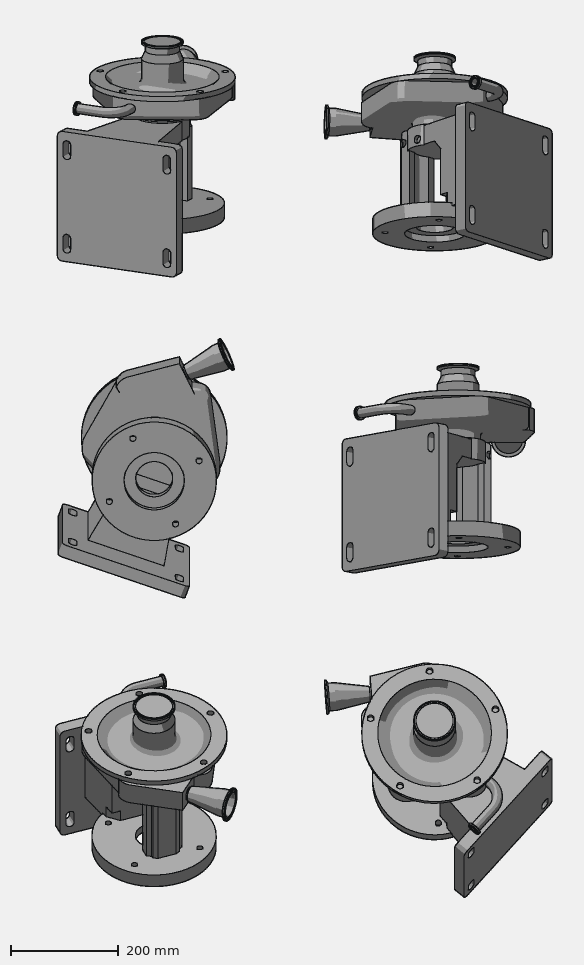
import cadquery as cq
import math


plate_side = 250.0
plate_thickness = 24.0
plate_back_y = -155.7
plate_corner_radius = 10.0
slot_width = 16.0
slot_length = 36.0
slot_spacing_x = 210.0
slot_spacing_z = 180.0
leg_base_half_width = 74.8
leg_taper_angle = 10
leg_front_y = -63.0
leg_bottom_z = 77.2
leg_notch_size = 20.2
leg_notch_top_z = 105.7
arm_start_y = -15.5
arm_chamfer = 17.8

disc_radius = 115.2
disc_bottom_z = 55.0
disc_top_z = 83.0
disc_bore_radius = 34.3
disc_pilot_radius = 55.8
disc_pilot_depth = 12.5
disc_hole_circle_radius = 92.0
disc_hole_diameter = 11.0
disc_hole_count = 4
disc_first_hole_angle = 45
collar_radius = 50.5
collar_bottom_z = 213.0
collar_top_z = 252.8
collar_hole_diameter = 15.0
collar_hole_depth = 8.3
collar_hole_z = 226.0
column_half_width = 35.5
column_hollow_radius = 37.5
column_front_y = 32.0
column_back_y = 65.0
column_step_width = 8.5
column_step_rise = 4.5
column_step_start_y = 50.5
column_slope_start_y = 46.0
column_slope_drop = 16.0
column_hole_diameter = 14.5
column_hole_y = 47.0
column_hole_z = 230.0

casing_bottom_z = 273.0
casing_bottom_fillet = 9.0
flange_radius = 135.0
flange_thickness = 10.0
flange_top_z = 325.5
corner_count = 5
first_corner_angle = 45
corner_center_radius = 102.0
corner_radius = 32.2
cutwater_corner = 1
cutwater_corner_shift = 8.3
cutwater_corner_radius = 24.8
flange_hole_circle_radius = 122.0
flange_hole_diameter = 12.5
hub_radius = 41.7
hub_fillet = 9.0

recess_top_radius = 105.5
recess_cone_end_radius = 93.8
recess_floor_radius = 82.0
recess_depth = 16.5
recess_fillet = 16.5
suction_radius = 39.0
suction_root_fillet = 14.5
suction_cone_start_z = 360.5
suction_cone_end_z = 376.0
suction_neck_radius = 32.0
suction_ferrule_start_z = 387.5
suction_rim_thickness = 3.7
suction_top_z = 394.0

discharge_angle = 135
discharge_offset = 96.2
discharge_z = 293.3
block_face_distance = 110.3
block_peak_offset = 123.5
block_slope_end = (90.5, 109.0)
block_slope_normal_angle = 55
discharge_length = 84.5
discharge_rim_radius = 32.0
discharge_rim_thickness = 3.0
discharge_pipe_radius = 26.0
discharge_straight_length = 18.0
discharge_end_radius = 14.5
discharge_neck_radius = 12.5
discharge_neck_length = 3.0
discharge_wall = 2.5
discharge_bore_straight_length = 13.5
discharge_bore_step_length = 29.0
discharge_bore_step_radius = 21.5

drain_radius = 9.5
drain_bore_radius = 7.0
drain_z = 295.8
drain_bend_radius = 34.3
drain_axis_y = -172.0
drain_end_x = -89.2
drain_rim_radius = 13.0
drain_rim_thickness = 4.5

groove_width = 3.0
groove_depth = 1.2
suction_groove_radius = 34.3
discharge_groove_radius = 26.5
drain_groove_radius = 8.5

casing_top_z = flange_top_z - flange_thickness
corner_angles = [first_corner_angle + i * 360 / corner_count for i in range(corner_count)]


def polar(radius, angle):
    """Point at the given radius and angle (degrees) from the shaft axis."""
    return radius * math.cos(math.radians(angle)), radius * math.sin(math.radians(angle))


def cylinder(radius, bottom_z, top_z):
    return cq.Workplane("XY").workplane(offset=bottom_z).circle(radius).extrude(top_z - bottom_z)


def side_hole(diameter, y, z, start_x, length):
    """Drill along +X at the given Y and Z."""
    plane = cq.Plane(origin=(start_x, y, z), xDir=(0, 1, 0), normal=(1, 0, 0))
    return cq.Workplane(plane).circle(diameter / 2).extrude(length)


def mounting_plate():
    plane = cq.Plane(origin=(0, plate_back_y, plate_side / 2), xDir=(1, 0, 0), normal=(0, -1, 0))
    plate = cq.Workplane(plane).rect(plate_side, plate_side).extrude(plate_thickness)
    plate = plate.edges("|Y").fillet(plate_corner_radius)
    slots = (
        cq.Workplane(plane)
        .rect(slot_spacing_x, slot_spacing_z, forConstruction=True)
        .vertices()
        .slot2D(slot_length, slot_width, 90)
        .extrude(plate_thickness)
    )
    return plate.cut(slots)


def leg_half_width(y):
    """Half width of the tapered leg, widest at the mounting plate."""
    return leg_base_half_width - (y - plate_back_y) * math.tan(math.radians(leg_taper_angle))


def leg():
    side = [
        (arm_start_y, plate_side),
        (plate_back_y, plate_side),
        (plate_back_y, leg_bottom_z),
        (leg_front_y, leg_bottom_z),
        (leg_front_y, collar_bottom_z - arm_chamfer),
        (leg_front_y + arm_chamfer, collar_bottom_z),
        (arm_start_y, collar_bottom_z),
    ]
    profile = cq.Workplane("YZ").polyline(side).close().extrude(leg_base_half_width, both=True)
    narrow = leg_half_width(arm_start_y)
    plan = [
        (-leg_base_half_width, plate_back_y),
        (leg_base_half_width, plate_back_y),
        (narrow, arm_start_y),
        (-narrow, arm_start_y),
    ]
    body = profile.intersect(cq.Workplane("XY").polyline(plan).close().extrude(plate_side))
    notch_back_y = leg_front_y - leg_notch_size
    outer = leg_half_width(notch_back_y)
    for sign in (-1, 1):
        notch = (
            cq.Workplane("XY")
            .workplane(offset=disc_top_z)
            .moveTo(sign * outer, notch_back_y)
            .lineTo(sign * (outer - leg_notch_size), leg_front_y)
            .lineTo(sign * outer, leg_front_y)
            .close()
            .extrude(leg_notch_top_z - disc_top_z)
        )
        body = body.cut(notch)
    return body


def motor_disc():
    return cylinder(disc_radius, disc_bottom_z, disc_top_z)


def disc_openings():
    holes = (
        cq.Workplane("XY")
        .workplane(offset=disc_bottom_z)
        .polarArray(disc_hole_circle_radius, disc_first_hole_angle, 360, disc_hole_count)
        .circle(disc_hole_diameter / 2)
        .extrude(disc_top_z - disc_bottom_z)
    )
    pilot = cylinder(disc_pilot_radius, disc_bottom_z, disc_bottom_z + disc_pilot_depth)
    return holes.union(cylinder(disc_bore_radius, disc_bottom_z, disc_top_z)).union(pilot)


def column():
    step_half_width = column_half_width - column_step_width
    step_y = column_step_start_y + column_step_rise
    back_half_width = step_half_width - column_step_width
    right_edge = [
        (column_half_width, column_front_y),
        (column_half_width, column_step_start_y),
        (step_half_width, step_y),
        (step_half_width, column_back_y - column_step_rise),
        (back_half_width, column_back_y),
    ]
    left_edge = [(-x, y) for x, y in reversed(right_edge)]
    body = (
        cq.Workplane("XY")
        .workplane(offset=disc_top_z)
        .polyline(right_edge + left_edge)
        .close()
        .extrude(collar_top_z - disc_top_z)
    )
    slope = (
        cq.Workplane("YZ")
        .moveTo(column_slope_start_y, collar_top_z)
        .lineTo(column_back_y, collar_top_z - column_slope_drop)
        .lineTo(column_back_y, collar_top_z)
        .close()
        .extrude(column_half_width, both=True)
    )
    return body.cut(slope)


def bracket():
    collar = cylinder(collar_radius, collar_bottom_z, collar_top_z)
    body = leg().union(collar).union(column())
    body = body.cut(cylinder(column_hollow_radius, disc_top_z, collar_bottom_z))
    body = body.union(motor_disc()).union(mounting_plate()).cut(disc_openings())
    body = body.cut(
        side_hole(collar_hole_diameter, 0, collar_hole_z, -collar_radius, collar_hole_depth)
    )
    return body.cut(
        side_hole(
            column_hole_diameter,
            column_hole_y,
            column_hole_z,
            -column_half_width,
            2 * column_half_width,
        )
    )


def casing():
    """Five-sided casing with round corners, one of them pushed out beside the discharge."""
    vertex_radius = corner_center_radius + corner_radius / math.cos(math.pi / corner_count)
    vertices = [polar(vertex_radius, angle) for angle in corner_angles]
    side_direction = corner_angles[cutwater_corner] - 90 + 180 / corner_count
    shift_x, shift_y = polar(cutwater_corner_shift, side_direction)
    cutwater_x, cutwater_y = vertices[cutwater_corner]
    vertices[cutwater_corner] = (cutwater_x + shift_x, cutwater_y + shift_y)
    height = casing_top_z - casing_bottom_z
    base = cq.Workplane("XY").workplane(offset=casing_bottom_z)
    body = base.polyline(vertices).close().extrude(height)
    for i, (x, y) in enumerate(vertices):
        radius = cutwater_corner_radius if i == cutwater_corner else corner_radius
        edge = cq.selectors.NearestToPointSelector((x, y, casing_bottom_z + height / 2))
        body = body.edges("|Z").edges(edge).fillet(radius)
    return body.faces("<Z").edges().fillet(casing_bottom_fillet)


def discharge_block():
    """Wedge-shaped outlet beside the casing, rounded where its long side ends."""
    face_x, face_y = polar(block_face_distance, discharge_angle)
    along_x, along_y = polar(1, discharge_angle - 90)
    peak = (face_x + block_peak_offset * along_x, face_y + block_peak_offset * along_y)
    inner = (face_x + corner_radius * along_x, face_y + corner_radius * along_y)
    normal_x, normal_y = polar(corner_radius, block_slope_normal_angle)
    arc_x = block_slope_end[0] - normal_x
    arc_y = block_slope_end[1] - normal_y
    middle_x, middle_y = polar(corner_radius, block_slope_normal_angle / 2)
    return (
        cq.Workplane("XY")
        .workplane(offset=casing_bottom_z)
        .moveTo(*inner)
        .lineTo(*peak)
        .lineTo(*block_slope_end)
        .threePointArc((arc_x + middle_x, arc_y + middle_y), (arc_x + corner_radius, arc_y))
        .lineTo(0, 0)
        .close()
        .extrude(casing_top_z - casing_bottom_z)
    )


def flange():
    return cylinder(flange_radius, casing_top_z, flange_top_z)


def flange_holes():
    return (
        cq.Workplane("XY")
        .workplane(offset=casing_top_z)
        .polarArray(flange_hole_circle_radius, first_corner_angle, 360, corner_count)
        .circle(flange_hole_diameter / 2)
        .extrude(flange_thickness)
    )


def revolve_profile(sketch):
    """Close a half profile and revolve it about the second axis of its plane."""
    return sketch.close().revolve(360, (0, 0, 0), (0, 1, 0))


def hub():
    return revolve_profile(
        cq.Workplane("XZ")
        .moveTo(0, collar_top_z)
        .lineTo(hub_radius, collar_top_z)
        .lineTo(hub_radius, casing_bottom_z - hub_fillet)
        .radiusArc((hub_radius + hub_fillet, casing_bottom_z), hub_fillet)
        .lineTo(0, casing_bottom_z)
    )


def front_recess():
    """Dished ring between the flange and the suction pipe."""
    floor_z = flange_top_z - recess_depth
    cone_end_z = flange_top_z - (recess_top_radius - recess_cone_end_radius)
    return revolve_profile(
        cq.Workplane("XZ")
        .moveTo(suction_radius, flange_top_z)
        .lineTo(recess_top_radius, flange_top_z)
        .lineTo(recess_cone_end_radius, cone_end_z)
        .radiusArc((recess_floor_radius, floor_z), recess_fillet)
        .lineTo(suction_radius + suction_root_fillet, floor_z)
        .radiusArc((suction_radius, floor_z + suction_root_fillet), suction_root_fillet)
    )


def suction_pipe():
    return revolve_profile(
        cq.Workplane("XZ")
        .moveTo(0, casing_top_z)
        .lineTo(suction_radius, casing_top_z)
        .lineTo(suction_radius, suction_cone_start_z)
        .lineTo(suction_neck_radius, suction_cone_end_z)
        .lineTo(suction_neck_radius, suction_ferrule_start_z)
        .lineTo(suction_radius, suction_top_z - suction_rim_thickness)
        .lineTo(suction_radius, suction_top_z)
        .lineTo(0, suction_top_z)
    )


def discharge_point(distance):
    """Point on the discharge axis at the given distance from the shaft, along the flow."""
    along_x, along_y = polar(distance, discharge_angle)
    side_x, side_y = polar(discharge_offset, discharge_angle - 90)
    return along_x + side_x, along_y + side_y, discharge_z


def discharge_pipe():
    """Return the flared outlet pipe and its bore, both starting at the block face."""
    side = polar(1, discharge_angle + 90)
    plane = cq.Plane(
        origin=discharge_point(block_face_distance), xDir=(0, 0, 1), normal=(side[0], side[1], 0)
    )
    straight_start = discharge_length - discharge_straight_length
    rim_start = discharge_length - discharge_rim_thickness
    outer = (
        cq.Workplane(plane)
        .lineTo(discharge_neck_radius, 0)
        .lineTo(discharge_neck_radius, discharge_neck_length)
        .lineTo(discharge_end_radius, discharge_neck_length)
        .lineTo(discharge_pipe_radius, straight_start)
        .lineTo(discharge_pipe_radius, rim_start - discharge_rim_thickness)
        .lineTo(discharge_rim_radius, rim_start)
        .lineTo(discharge_rim_radius, discharge_length)
        .lineTo(0, discharge_length)
    )
    bore = (
        cq.Workplane(plane)
        .lineTo(discharge_neck_radius - discharge_wall, 0)
        .lineTo(discharge_neck_radius - discharge_wall, discharge_neck_length)
        .lineTo(discharge_bore_step_radius, discharge_length - discharge_bore_step_length)
        .lineTo(
            discharge_pipe_radius - discharge_wall, discharge_length - discharge_bore_straight_length
        )
        .lineTo(discharge_pipe_radius - discharge_wall, discharge_length)
        .lineTo(0, discharge_length)
    )
    return revolve_profile(outer), revolve_profile(bore)


def drain_path():
    bend_start_y = drain_axis_y + drain_bend_radius
    middle = drain_bend_radius * math.sqrt(0.5)
    return (
        cq.Workplane(cq.Plane((0, 0, drain_z)))
        .moveTo(0, -corner_center_radius)
        .lineTo(0, bend_start_y)
        .threePointArc(
            (middle - drain_bend_radius, bend_start_y - middle), (-drain_bend_radius, drain_axis_y)
        )
        .lineTo(drain_end_x, drain_axis_y)
    )


def drain_tube(radius):
    plane = cq.Plane(origin=(0, -corner_center_radius, drain_z), xDir=(1, 0, 0), normal=(0, -1, 0))
    return cq.Workplane(plane).circle(radius).sweep(drain_path())


def drain_pipe():
    plane = cq.Plane(origin=(drain_end_x, drain_axis_y, drain_z), xDir=(0, 1, 0), normal=(1, 0, 0))
    rim = cq.Workplane(plane).circle(drain_rim_radius).extrude(drain_rim_thickness)
    return drain_tube(drain_radius).union(rim)


def gasket_groove(inner_radius, origin, inward):
    """Ring cut into a pipe end face; inward points from the face into the pipe."""
    return (
        cq.Workplane(cq.Plane(origin=origin, normal=inward))
        .circle(inner_radius + groove_width)
        .circle(inner_radius)
        .extrude(groove_depth)
    )


def gasket_grooves():
    suction = gasket_groove(suction_groove_radius, (0, 0, suction_top_z), (0, 0, -1))
    outlet_x, outlet_y = polar(1, discharge_angle)
    outlet_face = discharge_point(block_face_distance + discharge_length)
    discharge = gasket_groove(discharge_groove_radius, outlet_face, (-outlet_x, -outlet_y, 0))
    drain = gasket_groove(drain_groove_radius, (drain_end_x, drain_axis_y, drain_z), (1, 0, 0))
    return suction.union(discharge).union(drain)


discharge_body, discharge_bore = discharge_pipe()
result = (
    casing()
    .union(discharge_block())
    .union(flange())
    .union(suction_pipe())
    .cut(front_recess())
    .cut(flange_holes())
    .union(hub())
    .union(bracket())
    .union(discharge_body)
    .cut(discharge_bore)
    .union(drain_pipe())
    .cut(drain_tube(drain_bore_radius))
    .cut(gasket_grooves())
)